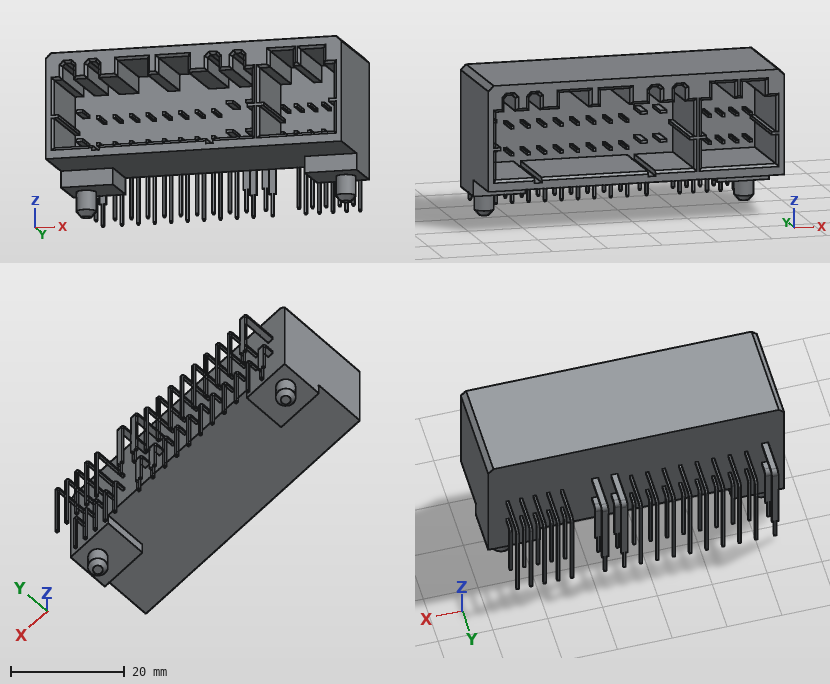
import cadquery as cq
import math


width = 54.0
depth = 18.5
top_z = 22.05
base_z = 2.95
corner_chamfer = 0.95
left = -width / 2
right = width / 2

foot_width = 9.5
foot_front = 10.1
peg_diameter = 3.5
peg_tip_diameter = 1.75
peg_length = 4.5
peg_tip_length = 1.0
peg_inset = 3.3
peg_y = 15.0

wall = 0.95
cavity_depth = 14.3
lead_in = 0.5
cavity_floor = 4.5
shoulder_z = top_z - 4.4
notch_top = top_z - 1.45
main_left = left + wall
main_right = left + 38.05
side_left = left + 38.5
side_right = right - wall

arch_width = 3.0
arch_bevel = 0.8
arch_pitch = 4.55
arch_pair_starts = (left + 4.0, left + 30.5)
arch_centers = [start + shift for start in arch_pair_starts for shift in (0, arch_pitch)]
main_notch_width = 6.35
main_notch_centers = [left + x for x in (15.75, 23.2)]
side_notch_width = 5.15
side_notch_centers = [left + x for x in (43.0, 48.55)]

rib_reach = lead_in + 0.8
rib_thickness = 0.55
rib_bottom = top_z - 11.75
groove_width = 1.35
groove_bottom = 4.05
groove_centers = [left + x for x in (9.1, 29.85)]

pin_size = 0.5
blade_width = 1.2
pin_tip_y = 9.5
pin_bottom = -3.7
tip_length = 0.3
tip_size = 0.15
elbow_radius = 0.9
overall_depth = 25.5
leg_spacing = 4.55
upper_leg_y = overall_depth - pin_size / 2
lower_leg_y = upper_leg_y - leg_spacing
blade_shoulder_z = 0.05
signal_rows = [(top_z - 9.9, upper_leg_y), (top_z - 14.75, lower_leg_y)]
blade_rows = [(top_z - 8.6, upper_leg_y), (top_z - 13.8, lower_leg_y)]
main_signal_start = left + 6.95
main_signal_span = 21.0
main_signal_count = 8
main_signal_pitch = main_signal_span / (main_signal_count - 1)
side_signal_start = left + 40.55
side_signal_pitch = 2.5
side_signal_count = 5
signal_xs = [main_signal_start + main_signal_pitch * i for i in range(main_signal_count)]
signal_xs += [side_signal_start + side_signal_pitch * i for i in range(side_signal_count)]
blade_xs = [left + x for x in (3.5, 31.0, 34.5)]


def block(x0, x1, y0, y1, z0, z1):
    """Box between opposite corners."""
    return cq.Workplane("XY").box(x1 - x0, y1 - y0, z1 - z0, centered=False).translate((x0, y0, z0))


def add_notch(outline, center, notch_width, bevel, inset):
    """Continue a shoulder line around one notch; a bevel of 0 leaves its top corners square."""
    half = notch_width / 2 - inset
    foot = shoulder_z - inset
    top = notch_top - inset
    outline = outline.lineTo(center - half, foot)
    if bevel:
        leg = bevel - inset * (2 - math.sqrt(2))
        outline = outline.lineTo(center - half, top - leg).lineTo(center - half + leg, top)
        outline = outline.lineTo(center + half - leg, top).lineTo(center + half, top - leg)
    else:
        outline = outline.lineTo(center - half, top).lineTo(center + half, top)
    return outline.lineTo(center + half, foot)


def cavity_outline(plane, x0, x1, notches, inset):
    """Closed cavity section moved inwards by the inset."""
    floor = cavity_floor + inset
    shoulder = shoulder_z - inset
    outline = plane.moveTo(x0 + inset, floor).lineTo(x0 + inset, shoulder)
    for notch in sorted(notches):
        outline = add_notch(outline, *notch, inset)
    return outline.lineTo(x1 - inset, shoulder).lineTo(x1 - inset, floor).close()


def cavity(x0, x1, notches):
    """Notched cavity with a 45 degree lead-in around its mouth."""
    mouth = cavity_outline(cq.Workplane("XZ"), x0, x1, notches, 0)
    mouth = cavity_outline(mouth.workplane(offset=-lead_in), x0, x1, notches, lead_in).loft(ruled=True)
    pocket = cavity_outline(cq.Workplane("XZ"), x0, x1, notches, lead_in).extrude(-cavity_depth)
    return mouth.union(pocket)


def contact(x, row_z, leg_y, size_x):
    """Bent contact: horizontal mating part, rounded elbow and vertical leg."""
    half = pin_size / 2
    inner_radius = elbow_radius - pin_size
    outer_y = leg_y + half
    inner_y = leg_y - half
    upper_z = row_z + half
    lower_z = row_z - half
    bend_y = outer_y - elbow_radius
    bend_z = upper_z - elbow_radius
    leg_end = blade_shoulder_z if size_x > pin_size else pin_bottom
    bar = (
        cq.Workplane("YZ").moveTo(pin_tip_y, lower_z).lineTo(pin_tip_y, upper_z)
        .lineTo(bend_y, upper_z).radiusArc((outer_y, bend_z), elbow_radius)
        .lineTo(outer_y, leg_end).lineTo(inner_y, leg_end)
        .lineTo(inner_y, bend_z).radiusArc((bend_y, lower_z), -inner_radius)
        .close().extrude(size_x / 2, both=True)
    )
    bar = bar.translate((x, 0, 0))
    if size_x > pin_size:
        bar = bar.union(block(x - half, x + half, inner_y, outer_y, pin_bottom, leg_end))
    tip = (
        cq.Workplane("XY", origin=(x, leg_y, pin_bottom)).rect(pin_size, pin_size)
        .workplane(offset=-tip_length).rect(tip_size, tip_size).loft()
    )
    return bar.union(tip)


body = block(left, right, 0, depth, base_z, top_z)
body = body.edges("|Y and >Z").chamfer(corner_chamfer)
for x0 in (left, right - foot_width):
    body = body.union(block(x0, x0 + foot_width, foot_front, depth, 0, base_z))

tip_top = peg_tip_length - peg_length
for x in (left + peg_inset, right - peg_inset):
    peg = (
        cq.Workplane("XZ", origin=(x, peg_y, 0))
        .lineTo(peg_diameter / 2, 0).lineTo(peg_diameter / 2, tip_top)
        .lineTo(peg_tip_diameter / 2, -peg_length).lineTo(0, -peg_length).close()
        .revolve(360, (0, 0, 0), (0, 1, 0))
    )
    body = body.union(peg)

main_notches = [(x, arch_width, arch_bevel) for x in arch_centers]
main_notches += [(x, main_notch_width, 0) for x in main_notch_centers]
side_notches = [(x, side_notch_width, 0) for x in side_notch_centers]
body = body.cut(cavity(main_left, main_right, main_notches))
body = body.cut(cavity(side_left, side_right, side_notches))

for x in groove_centers:
    x0 = x - groove_width / 2
    groove = block(x0, x0 + groove_width, 0, cavity_depth, groove_bottom, cavity_floor + lead_in)
    body = body.cut(groove)

for x0, x1 in ((main_left, main_right), (side_left, side_right)):
    for start in (x0, x1 - rib_reach):
        rib = block(start, start + rib_reach, 0, cavity_depth, rib_bottom, rib_bottom + rib_thickness)
        body = body.union(rib)

for row_z, leg_y in signal_rows:
    for x in signal_xs:
        body = body.union(contact(x, row_z, leg_y, pin_size))
for row_z, leg_y in blade_rows:
    for x in blade_xs:
        body = body.union(contact(x, row_z, leg_y, blade_width))

result = body